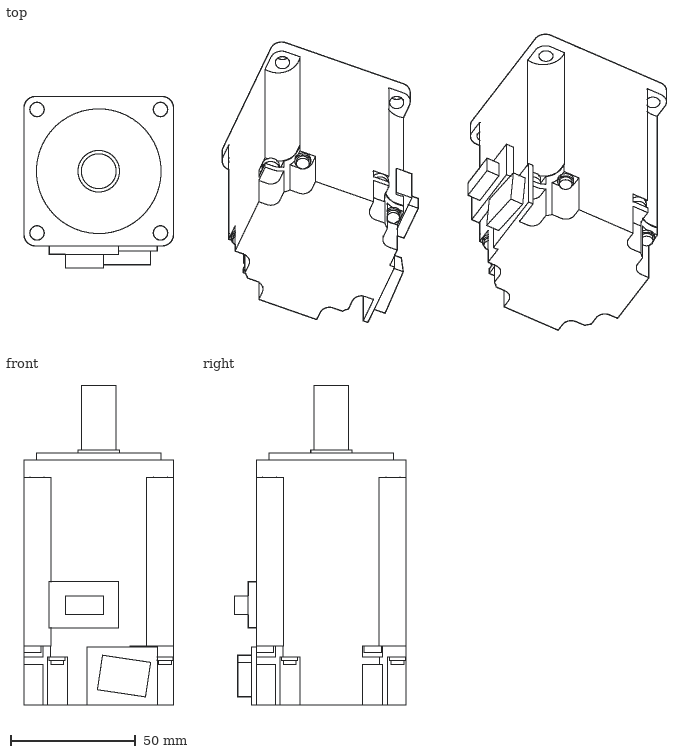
import cadquery as cq

body_width = 60.0
half_width = body_width / 2
overall_height = 128.3

base_top = 23.7
flange_bottom = 91.3
flange_top = 98.4
pilot_top = 101.2
collar_top = 102.4

pilot_diameter = 50.0
collar_diameter = 16.7
shaft_diameter = 14.0

flange_corner_radius = 4.6
mount_hole_inset = 5.3
mount_hole_diameter = 5.6

body_relief_inset = 2.0
body_relief_radius = 9.0
base_relief_width = 10.6
base_relief_radius = 7.0

pocket_length = 17.5
pocket_depth = 7.6
pocket_radius = 4.0
low_pocket_top = 19.2
lug_bottom = 16.3
lug_top = low_pocket_top

screw_inset = 3.5
screw_from_corner = 13.3
upper_screw_radius = screw_inset
upper_screw_bottom = 21.2
lower_screw_bottom = lug_bottom
lower_screw_rim_radius = 3.2
lower_screw_head_radius = 2.6
lower_screw_rim_bottom = 18.0

upper_plate_x = (-19.9, 8.0)
upper_plate_y = (-33.4, -26.7)
upper_plate_z = (31.0, 49.5)
upper_plug_x = (-13.3, 1.9)
upper_plug_front = -38.9
upper_plug_z = (36.3, 43.9)

lower_plate_x = (-4.7, 23.5)
lower_plate_front = -32.1
lower_plate_top = 23.4
lower_plug_width = 19.5
lower_plug_height = 14.0
lower_plug_front = -37.6
lower_plug_center = (10.1, 11.7)
lower_plug_tilt = 8.5


def box_between(x_range, y_range, z_range):
    size = [high - low for low, high in (x_range, y_range, z_range)]
    corner = (x_range[0], y_range[0], z_range[0])
    return cq.Workplane("XY").box(*size, centered=False).translate(corner)


def cylinder(diameter, bottom, top, center=(0, 0)):
    return cq.Workplane("XY", origin=(*center, bottom)).circle(diameter / 2).extrude(top - bottom)


def four_times(shape):
    """Repeat a shape made at the (-X, -Y) corner by quarter turns to all four corners."""
    copies = shape
    for turn in (90, 180, 270):
        copies = copies.union(shape.rotate((0, 0, 0), (0, 0, 1), turn))
    return copies


def from_corner(x, y):
    """Position given by its distances from the -X and -Y faces."""
    return (x - half_width, y - half_width)


def swap_sides(shape):
    """Mirror a shape across the corner diagonal, so the -Y face becomes the -X face."""
    return shape.mirror("XZ").rotate((0, 0, 0), (0, 0, 1), 90)


def flange():
    plate = (
        cq.Workplane("XY", origin=(0, 0, flange_bottom))
        .rect(body_width, body_width)
        .extrude(flange_top - flange_bottom)
        .edges("|Z")
        .fillet(flange_corner_radius)
    )
    hole_spacing = body_width - 2 * mount_hole_inset
    return (
        plate.faces(">Z")
        .workplane(origin=(0, 0, flange_top))
        .rect(hole_spacing, hole_spacing, forConstruction=True)
        .vertices()
        .hole(mount_hole_diameter)
    )


def body_relief():
    """Round groove along the corner of the motor body, from the base up to the flange."""
    center = from_corner(body_relief_inset, body_relief_inset)
    return cylinder(2 * body_relief_radius, base_top, flange_bottom, center)


def base_relief():
    """Square notch with a rounded inner edge along the corner of the base."""
    reach = (-half_width, base_relief_width - half_width)
    return box_between(reach, reach, (0, base_top)).edges("|Z and >X and >Y").fillet(base_relief_radius)


def screw_pocket(bottom, top):
    """Pocket in the -Y face that opens into the corner relief and ends in a round."""
    x_range = (-half_width, pocket_length - half_width)
    y_range = (-half_width, pocket_depth - half_width)
    return box_between(x_range, y_range, (bottom, top)).edges("|Z and >X and >Y").fillet(pocket_radius)


def lower_screw():
    """Stepped screw head under the ceiling of a pocket in the -Y face."""
    center = from_corner(screw_from_corner, screw_inset)
    rim = cylinder(2 * lower_screw_rim_radius, lower_screw_rim_bottom, low_pocket_top, center)
    head = cylinder(2 * lower_screw_head_radius, lower_screw_bottom, low_pocket_top, center)
    return rim.union(head)


def upper_screw():
    """Plain screw head above the lug, in the neighbouring pocket of the -X face."""
    center = from_corner(screw_inset, screw_from_corner)
    return cylinder(2 * upper_screw_radius, upper_screw_bottom, base_top, center)


def motor_body():
    side = (-half_width, half_width)
    body = box_between(side, side, (0, flange_bottom))
    body = body.cut(four_times(body_relief()))
    body = body.cut(four_times(base_relief()))
    body = body.cut(four_times(screw_pocket(0, low_pocket_top)))
    body = body.cut(four_times(swap_sides(screw_pocket(0, lug_bottom))))
    body = body.cut(four_times(swap_sides(screw_pocket(lug_top, base_top))))
    return body.union(four_times(lower_screw())).union(four_times(upper_screw()))


def upper_connector():
    plate = box_between(upper_plate_x, upper_plate_y, upper_plate_z)
    plug = box_between(upper_plug_x, (upper_plug_front, upper_plate_y[0]), upper_plug_z)
    return plate.union(plug)


def lower_connector():
    plate = box_between(lower_plate_x, (lower_plate_front, -half_width), (0, lower_plate_top))
    x, z = lower_plug_center
    plug = (
        cq.Workplane("XZ", origin=(x, lower_plate_front, z))
        .transformed(rotate=(0, 0, -lower_plug_tilt))
        .rect(lower_plug_width, lower_plug_height)
        .extrude(lower_plate_front - lower_plug_front)
    )
    return plate.union(plug)


result = (
    motor_body()
    .union(flange())
    .union(cylinder(pilot_diameter, flange_top, pilot_top))
    .union(cylinder(collar_diameter, pilot_top, collar_top))
    .union(cylinder(shaft_diameter, collar_top, overall_height))
    .union(upper_connector())
    .union(lower_connector())
)